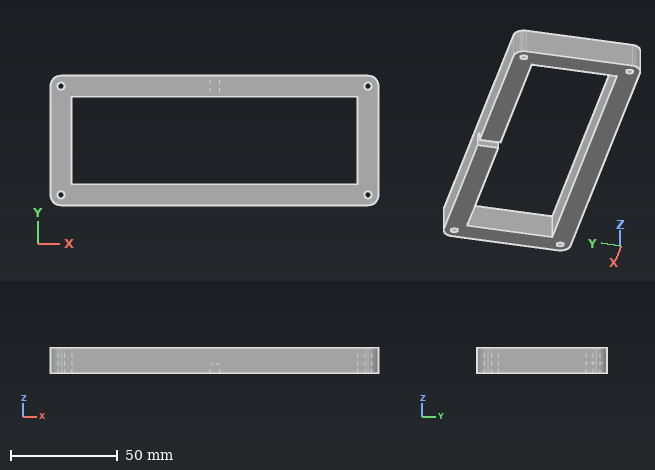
import cadquery as cq

length = 154.0
width = 61.0
height = 12.0

wall = 10.0
corner_radius = wall / 2
window_length = length - 2 * wall
window_width = width - 2 * wall

hole_diameter = 3.2
hole_spacing_x = length - 2 * corner_radius
hole_spacing_y = width - 2 * corner_radius

notch_width = 4.5
notch_height = 5.0
notch_x = 0.0


def make_frame():
    """Rounded plate with its window and corner holes, resting on Z = 0."""
    return (
        cq.Workplane("XY")
        .rect(length, width)
        .extrude(height)
        .edges("|Z")
        .fillet(corner_radius)
        .faces(">Z")
        .workplane()
        .rect(window_length, window_width)
        .cutThruAll()
        .faces(">Z")
        .workplane()
        .rect(hole_spacing_x, hole_spacing_y, forConstruction=True)
        .vertices()
        .hole(hole_diameter)
    )


def make_notch():
    """Arch-shaped cutter running outward in +Y from the window face."""
    radius = notch_width / 2
    spring_height = notch_height - radius
    return (
        cq.Workplane("XZ", origin=(notch_x, window_width / 2, 0))
        .moveTo(-radius, 0)
        .lineTo(-radius, spring_height)
        .threePointArc((0, notch_height), (radius, spring_height))
        .lineTo(radius, 0)
        .close()
        .extrude(-wall)
    )


result = make_frame().cut(make_notch())